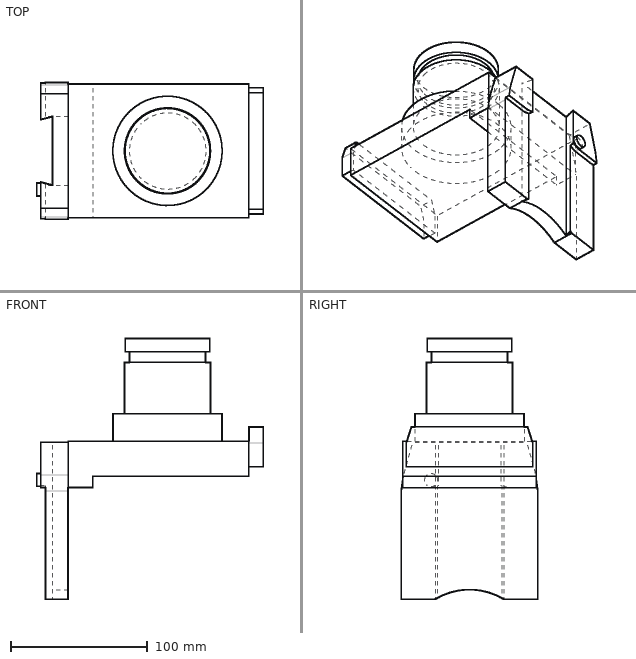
import cadquery as cq


PIN_TIP_X = -95.7
HEAD_FRONT_X = -92.8
LEG_FRONT_X = -89.4
SLOT_FLOOR_X = -84.2
PLATE_BACK_X = -72.8
STEP_END_X = -54.6
PLATFORM_END_X = 59.5
LIP_END_X = 70.1

LEG_HALF_WIDTH = 50.0
SHOULDER_HALF_WIDTH = 48.3
HEAD_TOP_HALF_WIDTH = 41.8
SHOULDER_START_Z = 79.6
SHOULDER_BREAK_Z = 91.3
HEAD_BOTTOM_Z = 81.7
HEAD_TOP_Z = 115.0

SLOT_MOUTH_HALF_WIDTH = 22.7
SLOT_FLOOR_HALF_WIDTH = 25.0

FOOT_ARCH_HALF_WIDTH = 25.2
FOOT_ARCH_RISE = 7.0
HEAD_ARCH_HALF_WIDTH = 28.6
HEAD_ARCH_RISE = 4.8

PIN_DIAMETER = 9.5
PIN_Y = -28.3
PIN_Z = 87.5

PLATFORM_WIDTH = 98.0
PLATFORM_BOTTOM_Z = 90.0
PLATFORM_TOP_Z = 115.7

LIP_HALF_WIDTH = 46.2
LIP_TOP_HALF_WIDTH = 42.5
LIP_BOTTOM_Z = 97.0
LIP_TAPER_Z = 114.6
LIP_TOP_Z = 126.3

PILLAR_SECTIONS = [
    (80.0, 136.0),
    (63.0, 173.5),
    (56.0, 181.0),
    (62.0, 191.0),
]


def extrude_along_x(right_half, x_start, x_end):
    """Mirror a half outline of (y, z) points about y = 0 and extrude it between two X positions."""
    left_half = [(-y, z) for y, z in reversed(right_half)]
    outline = cq.Workplane("YZ", origin=(x_start, 0, 0)).polyline(right_half + left_half).close()
    return outline.extrude(x_end - x_start)


def arch(half_width, base_z, rise, x_start, x_end):
    """Circular segment standing on base_z, running along X."""
    return (
        cq.Workplane("YZ", origin=(x_start, 0, 0))
        .moveTo(-half_width, base_z)
        .threePointArc((0, base_z + rise), (half_width, base_z))
        .close()
        .extrude(x_end - x_start)
    )


def dovetail_slot():
    """Dovetail groove over the full height, with its walls continued to the pin tip plane."""
    wall_slope = (SLOT_FLOOR_HALF_WIDTH - SLOT_MOUTH_HALF_WIDTH) / (SLOT_FLOOR_X - HEAD_FRONT_X)
    outer_half_width = SLOT_MOUTH_HALF_WIDTH - wall_slope * (HEAD_FRONT_X - PIN_TIP_X)
    return (
        cq.Workplane("XY")
        .polyline([
            (PIN_TIP_X, -outer_half_width),
            (SLOT_FLOOR_X, -SLOT_FLOOR_HALF_WIDTH),
            (SLOT_FLOOR_X, SLOT_FLOOR_HALF_WIDTH),
            (PIN_TIP_X, outer_half_width),
        ])
        .close()
        .extrude(HEAD_TOP_Z)
    )


def hanging_plate():
    plate_outline = [
        (LEG_HALF_WIDTH, 0),
        (LEG_HALF_WIDTH, SHOULDER_START_Z),
        (SHOULDER_HALF_WIDTH, SHOULDER_BREAK_Z),
        (HEAD_TOP_HALF_WIDTH, HEAD_TOP_Z),
    ]
    plate = extrude_along_x(plate_outline, HEAD_FRONT_X, PLATE_BACK_X)
    leg_relief = cq.Workplane("XY").box(
        LEG_FRONT_X - HEAD_FRONT_X, 2 * LEG_HALF_WIDTH, HEAD_BOTTOM_Z, centered=(False, True, False)
    ).translate((HEAD_FRONT_X, 0, 0))
    head_arch = arch(HEAD_ARCH_HALF_WIDTH, HEAD_BOTTOM_Z, HEAD_ARCH_RISE, HEAD_FRONT_X, LEG_FRONT_X)
    foot_arch = arch(FOOT_ARCH_HALF_WIDTH, 0, FOOT_ARCH_RISE, HEAD_FRONT_X, PLATE_BACK_X)
    return plate.cut(leg_relief).cut(head_arch).cut(foot_arch).cut(dovetail_slot())


def pin():
    return (
        cq.Workplane("YZ", origin=(PIN_TIP_X, 0, 0))
        .center(PIN_Y, PIN_Z)
        .circle(PIN_DIAMETER / 2)
        .extrude(HEAD_FRONT_X - PIN_TIP_X)
    )


def platform():
    return (
        cq.Workplane("XZ")
        .polyline([
            (PLATE_BACK_X, HEAD_BOTTOM_Z),
            (STEP_END_X, HEAD_BOTTOM_Z),
            (STEP_END_X, PLATFORM_BOTTOM_Z),
            (PLATFORM_END_X, PLATFORM_BOTTOM_Z),
            (PLATFORM_END_X, PLATFORM_TOP_Z),
            (PLATE_BACK_X, PLATFORM_TOP_Z),
        ])
        .close()
        .extrude(PLATFORM_WIDTH / 2, both=True)
    )


def end_lip():
    lip_outline = [
        (LIP_HALF_WIDTH, LIP_BOTTOM_Z),
        (LIP_HALF_WIDTH, LIP_TAPER_Z),
        (LIP_TOP_HALF_WIDTH, LIP_TOP_Z),
    ]
    return extrude_along_x(lip_outline, PLATFORM_END_X, LIP_END_X)


def pillar():
    column = cq.Workplane("XY")
    bottom_z = PLATFORM_TOP_Z
    for diameter, top_z in PILLAR_SECTIONS:
        section = cq.Workplane("XY", origin=(0, 0, bottom_z)).circle(diameter / 2).extrude(top_z - bottom_z)
        column = column.add(section)
        bottom_z = top_z
    return column.combine()


result = hanging_plate().union(pin()).union(platform()).union(end_lip()).union(pillar())